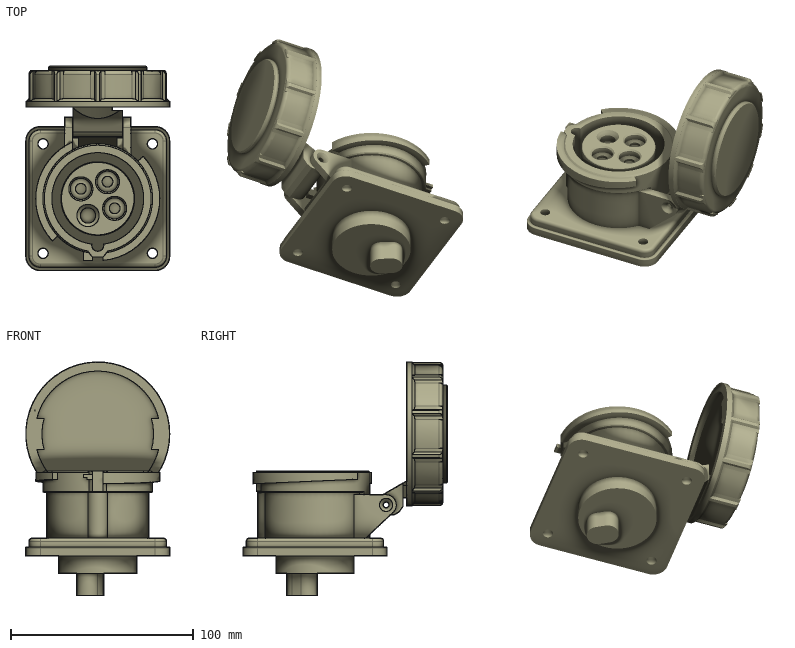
import cadquery as cq
import math


FLANGE_SIZE = 79.0
FLANGE_CORNER = 8.0
FLANGE_TOP = 4.75
PLATE_SIZE = 75.4
PLATE_CORNER = FLANGE_CORNER - (FLANGE_SIZE - PLATE_SIZE) / 2
PLATE_TOP = 9.7
PLATE_FILLET = 1.8
FLANGE_FILLET = 0.4
SCREW_PITCH = 60.0
SCREW_DIAMETER = 5.5

BASE_RADIUS = 21.5
BASE_DEPTH = 9.7
STEM_RADIUS = 6.1
STEM_BOTTOM = -21.85
STEM_LENGTH = 5.5
STEM_OFFSET = 8.2

BARREL_RADIUS = 28.0
COLLAR_BOTTOM = 34.7
COLLAR_CHAMFER = 0.6
COLLAR_RADIUS = 30.1
COLLAR_TOP = 45.7
RIM_TOP = 46.4
RIM_RADIUS = 29.3
SPINE_RADIUS = 5.6
SPINE_FRONT = 31.5

BORE_RADIUS = 25.2
INSERT_RADIUS = 20.2
INSERT_TOP = RIM_TOP - 1.7
INSERT_CHAMFER = 0.3
BORE_FLOOR = PLATE_TOP
KEYWAY_RADIUS = 3.3
KEYWAY_CENTRE = 25.6
CONTACT_CIRCLE = 10.7
EARTH_ANGLE = 240.0
CONTACT_MOUTH = 6.6
CONTACT_RADIUS = 5.8
CONTACT_CHAMFER = 0.8
CONTACT_DEPTH = 4.0
SLEEVE_RADIUS = 2.95
SLEEVE_DEPTH = 5.5
EARTH_MOUTH = 6.1
EARTH_RADIUS = 4.2
EARTH_TAPER = 2.3
EARTH_DEPTH = 6.4

RAMP_RADIUS = 34.0
RAMP_LOW = 39.5
RAMP_SLOPE = 0.043
RAMP_START = -85.0
RAMP_SWEEP = 128.0

BUMP_HALF_BASE = 5.3
BUMP_HALF_FRONT = 2.9
BUMP_FRONT = 32.1
STOP_LEFT = -7.8
STOP_STEP = -5.9
STOP_TOP = 44.7
STOP_BOTTOM = 43.0
STOP_STEP_BOTTOM = 41.8

PIN_Y = 39.0
PIN_Z = 27.9
PIN_HOLE_RADIUS = 1.5
PIN_SINK_RADIUS = 3.6
PIN_SINK_DEPTH = 2.0
BRACKET_INNER = 13.8
BRACKET_OUTER = 18.2
BRACKET_NOSE = 5.6
BRACKET_FOOT_Y = 27.9
WEB_THICKNESS = 2.0
WEB_END_Y = 34.0
PAD_WIDTH = 3.2
PAD_BACK_Y = 33.2
PAD_TOP = 30.0
PAD_HEIGHT = 4.0

LID_Z = 66.8
LID_FACE = 50.2
LID_FLANGE_RADIUS = 39.5
LID_FLANGE_BACK = 53.1
LID_PANEL_RADIUS = 37.7
LID_COVE = 1.7
LID_BACK = 70.2
LID_BACK_FILLET = 2.2
LID_CAP_RADIUS = 27.0
LID_CAP_BACK = 72.7
LID_CAP_CHAMFER = 0.7
GRIP_COUNT = 10
GRIP_RADIUS = 39.3
GRIP_HALF_TIP = 0.9
GRIP_HALF_BASE = 1.9
GRIP_BASE_HEIGHT = 0.3
GRIP_HALF_FOOT = 3.9
RECESS_RADIUS = 34.5
RECESS_DEPTH = 2.8
LUG_RADIUS = 30.6
LUG_HALF_WIDTH = 8.5

ARM_HALF_WIDTH = 13.7
ARM_HUB_RADIUS = 5.2
ARM_BACK_Y = 48.4
ARM_TIP_Z = 41.0
ARM_SLOPE = 0.575
ARM_JOINT_BOTTOM = 35.5
ARM_HEEL = (ARM_BACK_Y, 27.2)
ARM_HEEL_LOW = (46.2, 24.1)
ARM_BOTTOM = (43.3, 22.4)
ARM_NOTCH_X = 8.0
ARM_TAB_BOTTOM = 31.7
SCOOP_RADIUS = 29.4

OVERLAP = 1.0


def along_x(outline, x_start, x_end):
    """Prism along X from an outline sketched in Y and Z."""
    return outline.extrude(x_end - x_start).translate((x_start, 0, 0))


def cylinder(radius, bottom, top):
    return cq.Workplane("XY").workplane(offset=bottom).circle(radius).extrude(top - bottom)


def polar(radius, angle):
    turn = math.radians(angle)
    return radius * math.cos(turn), radius * math.sin(turn)


def make_flange():
    flange = cq.Workplane("XY").rect(FLANGE_SIZE, FLANGE_SIZE).extrude(FLANGE_TOP)
    flange = flange.edges("|Z").fillet(FLANGE_CORNER).faces(">Z").edges().fillet(FLANGE_FILLET)
    plate = cq.Workplane("XY").rect(PLATE_SIZE, PLATE_SIZE).extrude(PLATE_TOP)
    plate = plate.edges("|Z").fillet(PLATE_CORNER).faces(">Z").edges().fillet(PLATE_FILLET)
    screws = (
        cq.Workplane("XY")
        .rect(SCREW_PITCH, SCREW_PITCH, forConstruction=True)
        .vertices()
        .circle(SCREW_DIAMETER / 2)
        .extrude(PLATE_TOP)
    )
    return flange.union(plate).cut(screws)


def make_underside():
    base = cylinder(BASE_RADIUS, -BASE_DEPTH, OVERLAP)
    stem = (
        cq.Workplane("XY")
        .workplane(offset=STEM_BOTTOM)
        .center(*polar(STEM_OFFSET, EARTH_ANGLE))
        .slot2D(STEM_LENGTH + 2 * STEM_RADIUS, 2 * STEM_RADIUS, EARTH_ANGLE)
        .extrude(-STEM_BOTTOM)
    )
    return base.union(stem)


def make_barrel():
    """Barrel, collar and rim turned in one profile, with the spine down the front."""
    barrel = (
        cq.Workplane("XZ")
        .moveTo(0, 0)
        .lineTo(BARREL_RADIUS, 0)
        .lineTo(BARREL_RADIUS, COLLAR_BOTTOM)
        .lineTo(COLLAR_RADIUS - COLLAR_CHAMFER, COLLAR_BOTTOM)
        .lineTo(COLLAR_RADIUS, COLLAR_BOTTOM + COLLAR_CHAMFER)
        .lineTo(COLLAR_RADIUS, COLLAR_TOP)
        .lineTo(RIM_RADIUS, RIM_TOP)
        .lineTo(0, RIM_TOP)
        .close()
        .revolve(360, (0, 0, 0), (0, 1, 0))
    )
    spine = cylinder(SPINE_RADIUS, 0, COLLAR_BOTTOM).translate((0, SPINE_RADIUS - SPINE_FRONT, 0))
    return barrel.union(spine)


def make_ramp():
    """Bayonet ramp on the +X side: a ring sector with a tilted underside."""
    depth = RAMP_RADIUS - BARREL_RADIUS
    sector = (
        cq.Workplane("XZ")
        .rect(depth, COLLAR_TOP - COLLAR_BOTTOM, centered=False)
        .revolve(RAMP_SWEEP, (-BARREL_RADIUS, 0, 0), (-BARREL_RADIUS, 1, 0))
        .translate((BARREL_RADIUS, 0, COLLAR_BOTTOM))
        .rotate((0, 0, 0), (0, 0, 1), RAMP_START)
    )
    thick_end = RAMP_LOW
    thin_end = RAMP_LOW + RAMP_SLOPE * 2 * RAMP_RADIUS
    envelope = (
        cq.Workplane("YZ")
        .moveTo(-RAMP_RADIUS, thick_end)
        .lineTo(RAMP_RADIUS, thin_end)
        .lineTo(RAMP_RADIUS, COLLAR_TOP)
        .lineTo(-RAMP_RADIUS, COLLAR_TOP)
        .close()
        .extrude(RAMP_RADIUS, both=True)
    )
    return sector.intersect(envelope)


def make_ramps():
    ramp = make_ramp()
    opposite = ramp.rotate((0, 0, 0), (0, 0, 1), 180)
    arm_space = cq.Workplane("XY").box(
        2 * BRACKET_INNER, RAMP_RADIUS, COLLAR_TOP, centered=(True, False, False)
    )
    return ramp.union(opposite.cut(arm_space))


def make_bump():
    bump = (
        cq.Workplane("XY")
        .workplane(offset=COLLAR_BOTTOM + COLLAR_CHAMFER)
        .moveTo(-BUMP_HALF_BASE, -BARREL_RADIUS)
        .lineTo(-BUMP_HALF_BASE, OVERLAP - COLLAR_RADIUS)
        .lineTo(-BUMP_HALF_FRONT, -BUMP_FRONT)
        .lineTo(BUMP_HALF_FRONT, -BUMP_FRONT)
        .lineTo(BUMP_HALF_BASE, OVERLAP - COLLAR_RADIUS)
        .lineTo(BUMP_HALF_BASE, -BARREL_RADIUS)
        .close()
        .extrude(RIM_TOP - COLLAR_BOTTOM - COLLAR_CHAMFER)
    )
    stop = (
        cq.Workplane("XZ", origin=(0, -BARREL_RADIUS, 0))
        .moveTo(STOP_LEFT, STOP_TOP)
        .lineTo(STOP_LEFT, STOP_BOTTOM)
        .lineTo(STOP_STEP, STOP_BOTTOM)
        .lineTo(STOP_STEP, STOP_STEP_BOTTOM)
        .lineTo(-BUMP_HALF_FRONT, STOP_STEP_BOTTOM)
        .lineTo(-BUMP_HALF_FRONT, STOP_TOP)
        .close()
        .extrude(RAMP_RADIUS - BARREL_RADIUS)
    )
    return bump.union(stop)


def make_bore():
    """Groove around the contact insert, its keyway, and the space above the insert."""
    bore = cylinder(BORE_RADIUS, BORE_FLOOR, RIM_TOP + OVERLAP)
    keyway = cylinder(KEYWAY_RADIUS, BORE_FLOOR, RIM_TOP + OVERLAP).translate((0, -KEYWAY_CENTRE, 0))
    insert = cylinder(INSERT_RADIUS, BORE_FLOOR, INSERT_TOP).faces(">Z").chamfer(INSERT_CHAMFER)
    return bore.union(keyway).cut(insert)


def stepped_hole(*profile):
    """Turned hole from (radius, depth) corners below the top of the insert."""
    last_depth = profile[-1][1]
    points = [(0, 0), *[(radius, -depth) for radius, depth in profile], (0, -last_depth)]
    return cq.Workplane("XZ").polyline(points).close().revolve(360, (0, 0, 0), (0, 1, 0))


def make_contact_holes():
    earth = stepped_hole((EARTH_MOUTH, 0), (EARTH_RADIUS, EARTH_TAPER), (EARTH_RADIUS, EARTH_DEPTH))
    contact = stepped_hole(
        (CONTACT_MOUTH, 0),
        (CONTACT_RADIUS, CONTACT_CHAMFER),
        (CONTACT_RADIUS, CONTACT_DEPTH),
        (SLEEVE_RADIUS, CONTACT_DEPTH),
        (SLEEVE_RADIUS, SLEEVE_DEPTH),
    )
    holes = earth.translate((*polar(CONTACT_CIRCLE, EARTH_ANGLE), INSERT_TOP))
    for quarter in (1, 2, 3):
        place = polar(CONTACT_CIRCLE, EARTH_ANGLE + 90 * quarter)
        holes = holes.union(contact.translate((*place, INSERT_TOP)))
    return holes


def bracket_tangent():
    """Point where the sloping lower edge of a bracket meets its round nose."""
    across = PIN_Y - BRACKET_FOOT_Y
    rise = PIN_Z - PLATE_TOP
    edge_angle = math.atan2(rise, across) - math.asin(BRACKET_NOSE / math.hypot(across, rise))
    nose_y = PIN_Y + BRACKET_NOSE * math.sin(edge_angle)
    nose_z = PIN_Z - BRACKET_NOSE * math.cos(edge_angle)
    return nose_y, nose_z


def make_brackets():
    """Two hinge brackets and the sloping web that joins their lower edges."""
    nose = bracket_tangent()
    outline = (
        cq.Workplane("YZ")
        .moveTo(0, PLATE_TOP - OVERLAP)
        .lineTo(BRACKET_FOOT_Y, PLATE_TOP - OVERLAP)
        .lineTo(BRACKET_FOOT_Y, PLATE_TOP)
        .lineTo(*nose)
        .threePointArc((PIN_Y + BRACKET_NOSE, PIN_Z), (PIN_Y, PIN_Z + BRACKET_NOSE))
        .lineTo(0, PIN_Z + BRACKET_NOSE)
        .close()
    )
    left = along_x(outline, -BRACKET_OUTER, -BRACKET_INNER)
    right = left.mirror("YZ")
    slope = (nose[1] - PLATE_TOP) / (nose[0] - BRACKET_FOOT_Y)
    web_end_z = PLATE_TOP + slope * (WEB_END_Y - BRACKET_FOOT_Y)
    web_rise = WEB_THICKNESS * math.hypot(1, slope)
    web_outline = (
        cq.Workplane("YZ")
        .moveTo(BRACKET_FOOT_Y, PLATE_TOP)
        .lineTo(WEB_END_Y, web_end_z)
        .lineTo(WEB_END_Y, web_end_z + web_rise)
        .lineTo(BRACKET_FOOT_Y, PLATE_TOP + web_rise)
        .lineTo(0, PLATE_TOP + web_rise)
        .lineTo(0, PLATE_TOP)
        .close()
    )
    web = along_x(web_outline, -BRACKET_INNER, BRACKET_INNER)
    return left.union(right).union(web)


def make_hinge_wall():
    """Collar surface carried down to the plate between the brackets, with a pad on each bracket."""
    span = cq.Workplane("XY").box(
        2 * BRACKET_INNER, COLLAR_RADIUS, COLLAR_TOP, centered=(True, False, False)
    )
    wall = cylinder(COLLAR_RADIUS, 0, COLLAR_TOP).intersect(span)
    pad = cq.Workplane("XY").box(PAD_WIDTH, PAD_BACK_Y, PAD_HEIGHT, centered=False)
    pad = pad.translate((-BRACKET_INNER, 0, PAD_TOP - PAD_HEIGHT))
    return wall.union(pad).union(pad.mirror("YZ"))


def make_pin_hole():
    """Through hole along X, countersunk at both outer bracket faces."""
    hole = cq.Workplane("XY").polyline(
        [
            (-BRACKET_OUTER, 0),
            (-BRACKET_OUTER, PIN_SINK_RADIUS),
            (PIN_SINK_DEPTH - BRACKET_OUTER, PIN_HOLE_RADIUS),
            (BRACKET_OUTER - PIN_SINK_DEPTH, PIN_HOLE_RADIUS),
            (BRACKET_OUTER, PIN_SINK_RADIUS),
            (BRACKET_OUTER, 0),
        ]
    )
    return hole.close().revolve(360, (0, 0, 0), (1, 0, 0)).translate((0, PIN_Y, PIN_Z))


def make_housing():
    housing = make_flange().union(make_underside()).union(make_barrel())
    housing = housing.union(make_ramps()).union(make_bump())
    housing = housing.union(make_brackets()).union(make_hinge_wall())
    return housing.cut(make_bore()).cut(make_contact_holes()).cut(make_pin_hole())


def lid_disc(radius, front, back):
    """Disc on the lid axis between two Y positions."""
    plane = cq.Workplane("XZ", origin=(0, front, LID_Z))
    return plane.circle(radius).extrude(front - back)


def make_grips():
    """Raised grip ribs around the lid, rounded at the back edge."""
    envelope = lid_disc(GRIP_RADIUS, LID_FACE, LID_BACK).faces(">Y").edges().fillet(LID_BACK_FILLET)
    inner = LID_PANEL_RADIUS - OVERLAP
    base = LID_PANEL_RADIUS + GRIP_BASE_HEIGHT
    foot = math.sqrt(LID_PANEL_RADIUS**2 - GRIP_HALF_FOOT**2)
    rib = (
        cq.Workplane("XZ", origin=(0, LID_FACE, LID_Z))
        .moveTo(-GRIP_HALF_FOOT, inner)
        .lineTo(-GRIP_HALF_FOOT, foot)
        .lineTo(-GRIP_HALF_BASE, base)
        .lineTo(-GRIP_HALF_TIP, GRIP_RADIUS)
        .lineTo(GRIP_HALF_TIP, GRIP_RADIUS)
        .lineTo(GRIP_HALF_BASE, base)
        .lineTo(GRIP_HALF_FOOT, foot)
        .lineTo(GRIP_HALF_FOOT, inner)
        .close()
        .extrude(LID_FACE - LID_BACK)
        .intersect(envelope)
    )
    grips = rib
    for index in range(1, GRIP_COUNT):
        turn = 360 * index / GRIP_COUNT
        grips = grips.union(rib.rotate((0, 0, LID_Z), (0, 1, LID_Z), turn))
    return grips


def make_lid_shell():
    """Turned lid: face flange, sloped cove, grip panel with a rounded back edge, and back cap."""
    back_rounding = LID_PANEL_RADIUS - LID_BACK_FILLET
    shell = (
        cq.Workplane("XY")
        .moveTo(0, LID_FACE)
        .lineTo(LID_FLANGE_RADIUS, LID_FACE)
        .lineTo(LID_FLANGE_RADIUS, LID_FLANGE_BACK)
        .lineTo(LID_PANEL_RADIUS + LID_COVE, LID_FLANGE_BACK)
        .lineTo(LID_PANEL_RADIUS, LID_FLANGE_BACK + LID_COVE)
        .lineTo(LID_PANEL_RADIUS, LID_BACK - LID_BACK_FILLET)
        .tangentArcPoint((back_rounding, LID_BACK), relative=False)
        .lineTo(LID_CAP_RADIUS, LID_BACK)
        .lineTo(LID_CAP_RADIUS, LID_CAP_BACK - LID_CAP_CHAMFER)
        .lineTo(LID_CAP_RADIUS - LID_CAP_CHAMFER, LID_CAP_BACK)
        .lineTo(0, LID_CAP_BACK)
        .close()
        .revolve(360, (0, 0, 0), (0, 1, 0))
        .translate((0, 0, LID_Z))
    )
    return shell.union(make_grips())


def make_recess():
    """Shallow recess in the lid face with two lugs left standing at its sides."""
    floor = LID_FACE + RECESS_DEPTH
    recess = lid_disc(RECESS_RADIUS, LID_FACE - OVERLAP, floor)
    band = cq.Workplane("XZ", origin=(0, LID_FACE - OVERLAP, LID_Z))
    band = band.rect(2 * LID_FLANGE_RADIUS, 2 * LUG_HALF_WIDTH).extrude(-RECESS_DEPTH - OVERLAP)
    lugs = band.cut(lid_disc(LUG_RADIUS, LID_FACE - OVERLAP, floor))
    return recess.cut(lugs)


def make_arm():
    """Hinge arm: a bent profile with a hub round the pin, scooped out to clear the rim."""
    joint_y = LID_FACE + RECESS_DEPTH + OVERLAP
    top_z = PIN_Z + ARM_HUB_RADIUS
    slope_start = LID_FACE - (ARM_TIP_Z - top_z) / ARM_SLOPE
    outline = (
        cq.Workplane("YZ")
        .moveTo(slope_start, top_z)
        .lineTo(LID_FACE, ARM_TIP_Z)
        .lineTo(joint_y, ARM_TIP_Z)
        .lineTo(joint_y, ARM_JOINT_BOTTOM)
        .lineTo(ARM_BACK_Y, ARM_JOINT_BOTTOM)
        .lineTo(*ARM_HEEL)
        .lineTo(*ARM_HEEL_LOW)
        .lineTo(*ARM_BOTTOM)
        .lineTo(PIN_Y, PIN_Z - ARM_HUB_RADIUS)
        .threePointArc((PIN_Y - ARM_HUB_RADIUS, PIN_Z), (PIN_Y, top_z))
        .close()
    )
    arm = along_x(outline, -ARM_HALF_WIDTH, ARM_HALF_WIDTH)
    tab_outline = (
        cq.Workplane("YZ")
        .moveTo(ARM_BACK_Y - OVERLAP, ARM_TAB_BOTTOM)
        .lineTo(LID_FLANGE_BACK, ARM_TAB_BOTTOM)
        .lineTo(LID_FLANGE_BACK, ARM_TIP_Z)
        .lineTo(ARM_BACK_Y - OVERLAP, ARM_JOINT_BOTTOM)
        .close()
    )
    arm = arm.union(along_x(tab_outline, -ARM_NOTCH_X, ARM_NOTCH_X))
    notch = cq.Workplane("XY").box(ARM_HALF_WIDTH, LID_FACE, LID_Z, centered=False)
    arm = arm.cut(notch.translate((ARM_NOTCH_X, ARM_BACK_Y, 0)))
    return arm.cut(lid_disc(SCOOP_RADIUS, 0, joint_y))


def make_lid():
    return make_lid_shell().cut(make_recess()).union(make_arm()).cut(make_pin_hole())


housing = make_housing()
lid = make_lid()

result = cq.Compound.makeCompound([housing.solids().val(), lid.solids().val()])